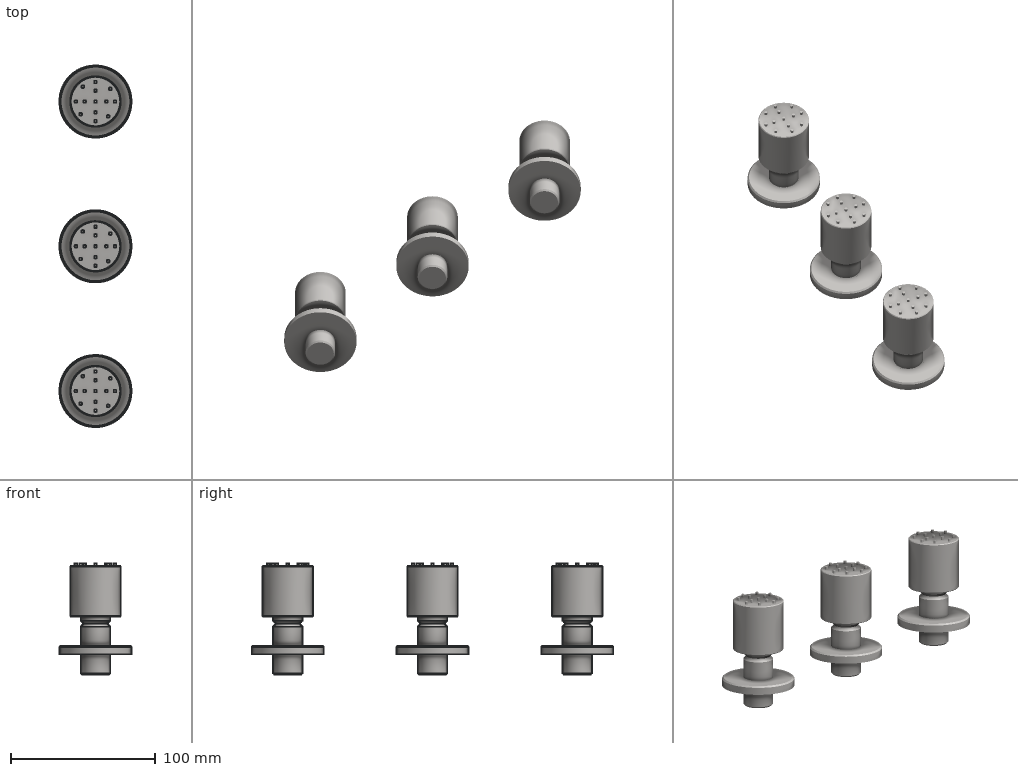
import cadquery as cq
import math

stud_count = 3
stud_pitch = 100.0

flange_diameter = 50.0
flange_bottom_height = 14.0
flange_thickness = 6.0
flange_chamfer = 1.0

shaft_diameter = 20.5
shaft_length = 40.0
shaft_end_chamfer = 1.0
collar_diameter = 22.0
groove_diameter = 16.5
groove_middle_height = 35.2
groove_half_width = 2.1

head_diameter = 35.0
head_length = 35.0
head_chamfer = 0.5
pin_height = 2.0
pin_diameter = 2.0
outer_pin_radius = 13.5
inner_pin_radius = 7.5
diagonal_pin_radius = 13.5
diagonal_pin_start_angle = 40.5
pins_per_circle = 4


def pin_circle(radius, start_angle):
    """Centres of evenly spaced pins on a circle around the head axis."""
    angles = [math.radians(start_angle + 360.0 * i / pins_per_circle) for i in range(pins_per_circle)]
    return [(radius * math.cos(angle), radius * math.sin(angle)) for angle in angles]


def make_shaft():
    """Bar with a chamfered lower end, a groove near its top and a collar flush with the flange faces."""
    shaft_radius = shaft_diameter / 2
    bar = cq.Workplane("XY").circle(shaft_radius).extrude(shaft_length)
    bar = bar.faces("<Z").chamfer(shaft_end_chamfer)
    groove = (
        cq.Workplane("XZ")
        .moveTo(shaft_radius, groove_middle_height - groove_half_width)
        .lineTo(groove_diameter / 2, groove_middle_height)
        .lineTo(shaft_radius, groove_middle_height + groove_half_width)
        .close()
        .revolve(360, (0, 0, 0), (0, 1, 0))
    )
    collar = (
        cq.Workplane("XY")
        .workplane(offset=flange_bottom_height)
        .circle(collar_diameter / 2)
        .extrude(flange_thickness)
    )
    return bar.cut(groove).union(collar)


def make_flange():
    """Plate with a chamfered top rim and a bore that fits the shaft collar."""
    plate = (
        cq.Workplane("XY")
        .workplane(offset=flange_bottom_height)
        .circle(flange_diameter / 2)
        .extrude(flange_thickness)
    )
    plate = plate.faces(">Z").chamfer(flange_chamfer)
    return plate.faces(">Z").workplane().hole(collar_diameter)


def make_head():
    """Cylinder with chamfered rims; the pins are part of the same solid."""
    head_top = shaft_length + head_length
    cross_pins = [(0, 0)] + pin_circle(inner_pin_radius, 0) + pin_circle(outer_pin_radius, 0)
    diagonal_pins = pin_circle(diagonal_pin_radius, diagonal_pin_start_angle)
    head = (
        cq.Workplane("XY")
        .workplane(offset=shaft_length)
        .circle(head_diameter / 2)
        .extrude(head_length)
        .faces("<Z or >Z")
        .chamfer(head_chamfer)
    )
    pins = (
        cq.Workplane("XY")
        .workplane(offset=head_top)
        .pushPoints(cross_pins + diagonal_pins)
        .circle(pin_diameter / 2)
        .extrude(pin_height)
    )
    return head.union(pins)


bodies = []
for index in range(stud_count):
    stud_y = (index - (stud_count - 1) / 2) * stud_pitch
    for body in (make_shaft(), make_flange(), make_head()):
        bodies.append(body.translate((0, stud_y, 0)).val())

result = cq.Compound.makeCompound(bodies)